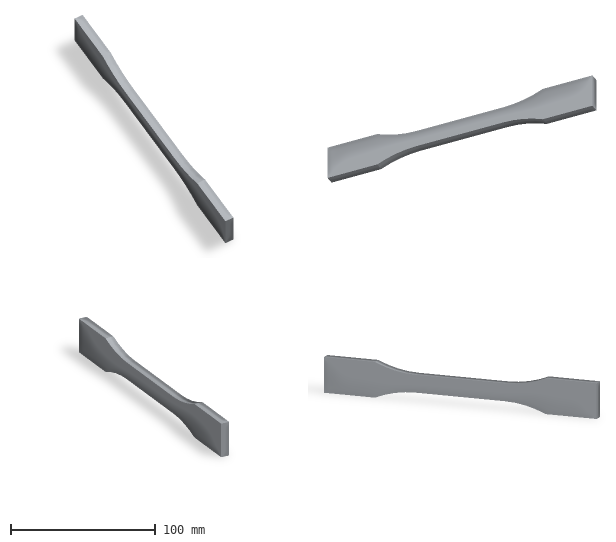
import cadquery as cq
import math

length = 203.2
grip_width = 25.4
neck_width = grip_width / 2
thickness = 6.35
grip_length = 38.1
shoulder_radius = 76.2

half_length = length / 2
half_grip = grip_width / 2
half_neck = neck_width / 2

shoulder_rise = half_grip - half_neck
shoulder_angle = math.acos(1 - shoulder_rise / shoulder_radius)
shoulder_length = shoulder_radius * math.sin(shoulder_angle)
grip_end = half_length - grip_length
neck_end = grip_end - shoulder_length

arc_mid_x = neck_end + shoulder_radius * math.sin(shoulder_angle / 2)
arc_mid_z = half_neck + shoulder_radius * (1 - math.cos(shoulder_angle / 2))


def bar_outline():
    """Closed dog-bone outline, drawn clockwise from the upper left corner."""
    return (
        cq.Workplane("XZ")
        .moveTo(-half_length, half_grip)
        .lineTo(-grip_end, half_grip)
        .threePointArc((-arc_mid_x, arc_mid_z), (-neck_end, half_neck))
        .lineTo(neck_end, half_neck)
        .threePointArc((arc_mid_x, arc_mid_z), (grip_end, half_grip))
        .lineTo(half_length, half_grip)
        .lineTo(half_length, -half_grip)
        .lineTo(grip_end, -half_grip)
        .threePointArc((arc_mid_x, -arc_mid_z), (neck_end, -half_neck))
        .lineTo(-neck_end, -half_neck)
        .threePointArc((-arc_mid_x, -arc_mid_z), (-grip_end, -half_grip))
        .lineTo(-half_length, -half_grip)
        .close()
    )


result = bar_outline().extrude(thickness / 2, both=True)